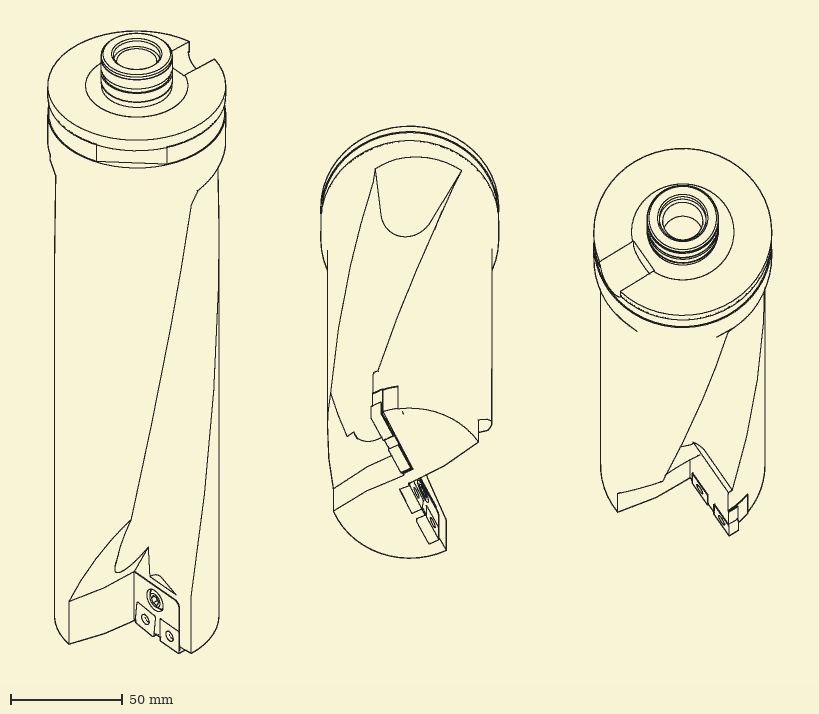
import cadquery as cq
import math

TOTAL_LENGTH = 325.0

SHANK_RADIUS = 37.0
COLLAR_RADIUS = 40.0
COLLAR_TOP = 307.0
CONE_TOP = 271.8
CONE_BOTTOM = 260.7
RIM_BOTTOM = 5.3
POINT_BOTTOM = 1.5

BAND_TOP = 301.0
BAND_BOTTOM = 291.2
BAND_RADIUS = 39.5
BAND_FLAT_DISTANCE = 36.2
BAND_FLAT_ANGLE = -45.0

SPIGOT_DIAMETER = 32.3
SPIGOT_LEAD_DIAMETER = 31.9
SPIGOT_CHAMFER = 0.8
SPIGOT_LEAD = 2.2
SEAL_GROOVE_DIAMETER = 30.9
SEAL_GROOVE_TOP = 317.6
SEAL_GROOVE_BOTTOM = 315.1
RELIEF_DIAMETER = 31.7
RELIEF_TOP = 310.0
SEAT_RECESS_RADIUS = 23.0
SEAT_RECESS_DEPTH = 0.1
BORE_MOUTH_DIAMETER = 21.0
BORE_MOUTH_DEPTH = 4.0
BORE_MOUTH_CHAMFER = 0.8
BORE_DIAMETER = 18.0
BORE_DEPTH = 22.0
DRILL_POINT_ANGLE = 118.0

KEY_WIDTH = 17.0
KEY_INNER_Y = 20.8
KEY_DEPTH = 14.0
KEY_FLOOR_WIDTH = 1.2

TWIST_PER_MM = 0.264
TWIST_START = 53.0
FLUTE_TOP = 290.0
TROUGH_U = 15.0
TROUGH_RADIUS = 12.0
FLUTE_BOTTOM = 30.0
FRONT_START_Z = 32.7
FRONT_START_SLOPE = 2.1
BACK_END_RADIUS = 10.5
BACK_END_V = 10.2
BACK_END_Z = 52.5
RUNOUT_AXIS_Z = 260.5
RUNOUT_SLOPE_X = 0.2
RUNOUT_SLOPE_Y = 0.3
FACE_DROP = 2.5
TRAILING_EDGE = (21.4, 30.2)
CLEAR = 60.0

POCKET_TOP = 29.6
POCKET_BEND_V = 18.2
FRONT_WALL_U = -1.5
FRONT_RIM_U = -4.4
FRONT_WALL_SLOPE = 0.487
BACK_WALL_U = 6.0
BACK_RIM_U = 3.0
BACK_WALL_SLOPE = 0.4
POCKET_RUNOUT = 110.0

PAD_RAISE = 0.3
PAD_INNER_U = FRONT_RIM_U
PAD_OUTER_U = 29.0
PAD_BOTTOM = 2.5
PAD_CORNER = 3.0
SCREW_U = 12.7
SCREW_Z = 21.5
SCREW_DIAMETER = 11.0
SCREW_RECESS = 2.0
SCREW_HEAD_BASE = 10.4
SCREW_HEAD_TOP = 6.8
SCREW_SOCKET_FLATS = 4.2
SCREW_SOCKET_DEPTH = 2.5
OUTER_CARTRIDGE_RADIUS = 37.3
OUTER_CARTRIDGE_DEPTH = 11.7
OUTER_CARTRIDGE_REACH = 37.6
OUTER_CARTRIDGE_INNER_U = 7.0
LIP_BOTTOM = 1.6
LIP_DROP = 0.8

INSERT_SIZE = 12.7
INSERT_THICKNESS = 5.0
INSERT_CORNER = 0.4
INSERT_TOP = 13.2
INSERT_Z = INSERT_TOP - INSERT_SIZE / 2
CENTRE_INSERT_U = 6.2
MIDDLE_INSERT_U = 22.6
INNER_BACK_INSERT_U = 14.4
RIM_INSERT_U = 32.2
CENTRE_INSERT_TILT = 6.0
CENTRE_INSERT_CORNER = 1.0
INSERT_HOLE = 4.0
INSERT_COUNTERSINK = 5.0
COUNTERSINK_DEPTH = 1.5
SCREW_HOLE = 3.0
SCREW_HOLE_DEPTH = 8.0


def box(low, high):
    size = [b - a for a, b in zip(low, high)]
    return cq.Workplane("XY").box(*size, centered=False).translate(low)


def cylinder(diameter, bottom, top):
    return cq.Workplane("XY").workplane(offset=bottom).circle(diameter / 2).extrude(top - bottom)


def half_turn(shape):
    """Copy for the opposite side of the drill."""
    return shape.rotate((0, 0, 0), (0, 0, 1), 180)


def turned_blank():
    """Shank, cone, collar and spigot as one revolved profile."""
    spigot_radius = SPIGOT_DIAMETER / 2
    lead_radius = SPIGOT_LEAD_DIAMETER / 2
    groove_radius = SEAL_GROOVE_DIAMETER / 2
    relief_radius = RELIEF_DIAMETER / 2
    lead_bottom = TOTAL_LENGTH - SPIGOT_LEAD
    seat_z = COLLAR_TOP - SEAT_RECESS_DEPTH
    profile = [
        (0, POINT_BOTTOM),
        (SHANK_RADIUS, RIM_BOTTOM),
        (SHANK_RADIUS, CONE_BOTTOM),
        (COLLAR_RADIUS, CONE_TOP),
        (COLLAR_RADIUS, BAND_BOTTOM),
        (BAND_RADIUS, BAND_BOTTOM),
        (BAND_RADIUS, BAND_TOP),
        (COLLAR_RADIUS, BAND_TOP),
        (COLLAR_RADIUS, COLLAR_TOP),
        (SEAT_RECESS_RADIUS, COLLAR_TOP),
        (SEAT_RECESS_RADIUS, seat_z),
        (relief_radius, seat_z),
        (relief_radius, RELIEF_TOP),
        (spigot_radius, RELIEF_TOP),
        (spigot_radius, SEAL_GROOVE_BOTTOM),
        (groove_radius, SEAL_GROOVE_BOTTOM),
        (groove_radius, SEAL_GROOVE_TOP),
        (spigot_radius, SEAL_GROOVE_TOP),
        (spigot_radius, lead_bottom),
        (lead_radius, lead_bottom),
        (lead_radius, TOTAL_LENGTH - SPIGOT_CHAMFER),
        (lead_radius - SPIGOT_CHAMFER, TOTAL_LENGTH),
        (0, TOTAL_LENGTH),
    ]
    return cq.Workplane("XZ").polyline(profile).close().revolve(360, (0, 0), (0, 1))


def coupling_bore():
    """Chamfered mouth, stepped bore and drill-point floor."""
    mouth_radius = BORE_MOUTH_DIAMETER / 2
    radius = BORE_DIAMETER / 2
    mouth_z = TOTAL_LENGTH - BORE_MOUTH_DEPTH
    floor_z = TOTAL_LENGTH - BORE_DEPTH
    point_height = radius / math.tan(math.radians(DRILL_POINT_ANGLE / 2))
    profile = [
        (0, TOTAL_LENGTH),
        (mouth_radius + BORE_MOUTH_CHAMFER, TOTAL_LENGTH),
        (mouth_radius, TOTAL_LENGTH - BORE_MOUTH_CHAMFER),
        (mouth_radius, mouth_z),
        (radius, mouth_z),
        (radius, floor_z),
        (0, floor_z - point_height),
    ]
    return cq.Workplane("XZ").polyline(profile).close().revolve(360, (0, 0), (0, 1))


def band_flat():
    """Material outside the flat in the collar groove."""
    block = box((BAND_FLAT_DISTANCE, -CLEAR, BAND_BOTTOM), (CLEAR, CLEAR, BAND_TOP))
    return block.rotate((0, 0, 0), (0, 0, 1), BAND_FLAT_ANGLE)


def keyway():
    """Drive slot with large round floor corners, open to +Y."""
    half = KEY_WIDTH / 2
    slot = box((-half, KEY_INNER_Y, COLLAR_TOP - KEY_DEPTH), (half, CLEAR, COLLAR_TOP))
    return slot.edges("|Y and <Z").fillet((KEY_WIDTH - KEY_FLOOR_WIDTH) / 2)


def flute_section():
    """Cutting wall, round trough and trailing wall of the +X flute (V is -Y)."""
    trough_v = TROUGH_RADIUS - FACE_DROP
    edge_u, edge_v = TRAILING_EDGE
    away_u = edge_u - TROUGH_U
    away_v = edge_v - trough_v
    tangent_angle = math.atan2(away_v, away_u) + math.acos(TROUGH_RADIUS / math.hypot(away_u, away_v))
    middle_angle = (tangent_angle + 1.5 * math.pi) / 2

    def trough_point(angle):
        return TROUGH_U + TROUGH_RADIUS * math.cos(angle), -trough_v - TROUGH_RADIUS * math.sin(angle)

    tangent = trough_point(tangent_angle)
    far_edge = (2 * edge_u - tangent[0], -2 * edge_v - tangent[1])
    return (
        cq.Workplane("XY")
        .moveTo(CLEAR, FACE_DROP)
        .lineTo(TROUGH_U, FACE_DROP)
        .threePointArc(trough_point(middle_angle), tangent)
        .lineTo(*far_edge)
        .lineTo(CLEAR, -CLEAR)
        .close()
    )


def helical_flute():
    """Twisted flute of the +X side, bounded at the top by a sloped run-out into the collar."""
    height = FLUTE_TOP - FLUTE_BOTTOM
    start_angle = TWIST_PER_MM * (FLUTE_BOTTOM - TWIST_START)
    twisted = flute_section().twistExtrude(height, TWIST_PER_MM * height)
    twisted = twisted.rotate((0, 0, 0), (0, 0, 1), start_angle).translate((0, 0, FLUTE_BOTTOM))
    runout = cq.Plane((0, 0, RUNOUT_AXIS_Z), (1, 0, 0), (-RUNOUT_SLOPE_X, -RUNOUT_SLOPE_Y, 1))
    beyond = cq.Workplane(runout).rect(8 * CLEAR, 8 * CLEAR).extrude(2 * CLEAR)
    return twisted.cut(beyond)


def front_trough_end():
    """Material kept below the sloped lower end of the front trough."""
    end_plane = cq.Plane((0, 0, FRONT_START_Z), (1, 0, 0), (0, -FRONT_START_SLOPE, 1))
    return cq.Workplane(end_plane).rect(4 * CLEAR, 4 * CLEAR).extrude(-CLEAR)


def back_trough_end():
    """Material kept around the half-round lower end of the back trough."""
    block = box((-CLEAR, -CLEAR, FLUTE_BOTTOM), (CLEAR, CLEAR, BACK_END_Z))
    half_round = (
        cq.Workplane("YZ", origin=(-CLEAR, -BACK_END_V, BACK_END_Z))
        .circle(BACK_END_RADIUS)
        .extrude(2 * CLEAR)
    )
    return block.cut(half_round)


def chip_pocket(wall_u, rim_u, slope):
    """Open quarter at the tip; above POCKET_TOP its wall slants outward."""
    outline = [
        (wall_u, 0),
        (wall_u, -POCKET_BEND_V),
        (rim_u, -SHANK_RADIUS),
        (rim_u, -CLEAR),
        (CLEAR, -CLEAR),
        (CLEAR, 0),
    ]
    shift = slope * POCKET_RUNOUT
    lower = cq.Workplane("XY").polyline(outline).close().extrude(POCKET_TOP)
    upper = (
        cq.Workplane("XY", origin=(0, 0, POCKET_TOP))
        .polyline(outline)
        .close()
        .workplane(offset=POCKET_RUNOUT, origin=(shift, 0))
        .polyline(outline)
        .close()
        .loft(ruled=True)
    )
    return lower.union(upper)


def cartridge_pad():
    """Raised face of the centre cartridge, on the front cutting face."""
    return (
        box((PAD_INNER_U, -PAD_RAISE, PAD_BOTTOM), (PAD_OUTER_U, PAD_RAISE, POCKET_TOP))
        .edges("|Y and >X and >Z")
        .fillet(PAD_CORNER)
    )


def screw_plane(depth):
    """Workplane at the cartridge screw, facing -Y, sunk by depth below the pad face."""
    return cq.Workplane("XZ", origin=(SCREW_U, depth - PAD_RAISE, SCREW_Z))


def add_cartridge_screw(shank):
    """Recess in the pad with a tapered, socketed screw head inside."""
    recess = screw_plane(SCREW_RECESS).circle(SCREW_DIAMETER / 2).extrude(SCREW_RECESS)
    head = (
        screw_plane(SCREW_RECESS)
        .circle(SCREW_HEAD_BASE / 2)
        .workplane(offset=SCREW_RECESS)
        .circle(SCREW_HEAD_TOP / 2)
        .loft(ruled=True)
    )
    socket_corners = SCREW_SOCKET_FLATS / math.cos(math.pi / 6)
    socket = screw_plane(0).polygon(6, socket_corners).extrude(-SCREW_SOCKET_DEPTH)
    return shank.cut(recess).union(head).cut(socket)


def outer_cartridge():
    """Holder on the -X side, standing slightly proud of the shank; its face looks to +Y."""
    reach = -OUTER_CARTRIDGE_REACH
    holder = cylinder(2 * OUTER_CARTRIDGE_RADIUS, RIM_BOTTOM, POCKET_TOP).intersect(
        box((-CLEAR, -OUTER_CARTRIDGE_DEPTH, 0), (-OUTER_CARTRIDGE_INNER_U, 0, POCKET_TOP))
    )
    lip = box((reach, -INSERT_THICKNESS, LIP_BOTTOM), (-OUTER_CARTRIDGE_INNER_U, 0, POCKET_TOP - LIP_DROP))
    return holder.union(lip)


def insert_blank(centre_u, tilt, corner):
    """Outline of one insert on the +X side, its cutting face towards -Y."""
    blank = (
        insert_plane(centre_u, INSERT_THICKNESS)
        .rect(INSERT_SIZE, INSERT_SIZE)
        .extrude(INSERT_THICKNESS)
        .edges("|Y")
        .fillet(corner)
    )
    return blank.rotate((centre_u, 0, INSERT_Z), (centre_u, 1, INSERT_Z), tilt)


def insert_plane(centre_u, depth):
    """Workplane at an insert's centre, facing -Y, sunk by depth below its cutting face."""
    return cq.Workplane("XZ", origin=(centre_u, depth - PAD_RAISE, INSERT_Z))


def insert_hole(centre_u):
    """Countersunk hole through the insert."""
    through = insert_plane(centre_u, INSERT_THICKNESS).circle(INSERT_HOLE / 2).extrude(INSERT_THICKNESS)
    mouth = (
        insert_plane(centre_u, COUNTERSINK_DEPTH)
        .circle(INSERT_HOLE / 2)
        .workplane(offset=COUNTERSINK_DEPTH)
        .circle(INSERT_COUNTERSINK / 2)
        .loft(ruled=True)
    )
    return through.union(mouth)


def screw_hole(centre_u):
    """Blind hole in the seat behind the insert."""
    return insert_plane(centre_u, INSERT_THICKNESS).circle(SCREW_HOLE / 2).extrude(-SCREW_HOLE_DEPTH)


shank = turned_blank().cut(coupling_bore()).cut(band_flat()).cut(keyway())
flute = helical_flute()
shank = shank.cut(flute.cut(front_trough_end())).cut(half_turn(flute.cut(back_trough_end())))
shank = shank.cut(chip_pocket(FRONT_WALL_U, FRONT_RIM_U, FRONT_WALL_SLOPE))
shank = shank.cut(half_turn(chip_pocket(BACK_WALL_U, BACK_RIM_U, BACK_WALL_SLOPE)))
shank = shank.union(cartridge_pad()).union(outer_cartridge())
shank = add_cartridge_screw(shank)

insert_layout = [
    (CENTRE_INSERT_U, CENTRE_INSERT_TILT, CENTRE_INSERT_CORNER, 0),
    (MIDDLE_INSERT_U, 0, INSERT_CORNER, 0),
    (INNER_BACK_INSERT_U, 0, INSERT_CORNER, 180),
    (RIM_INSERT_U, 0, INSERT_CORNER, 180),
]
inserts = []
for centre_u, tilt, corner, turn in insert_layout:
    blank = insert_blank(centre_u, tilt, corner)
    insert = blank.cut(insert_hole(centre_u))
    seat = blank.union(screw_hole(centre_u))
    shank = shank.cut(seat.rotate((0, 0, 0), (0, 0, 1), turn))
    inserts.append(insert.rotate((0, 0, 0), (0, 0, 1), turn))

result = cq.Compound.makeCompound([shank.val(), *[insert.val() for insert in inserts]])